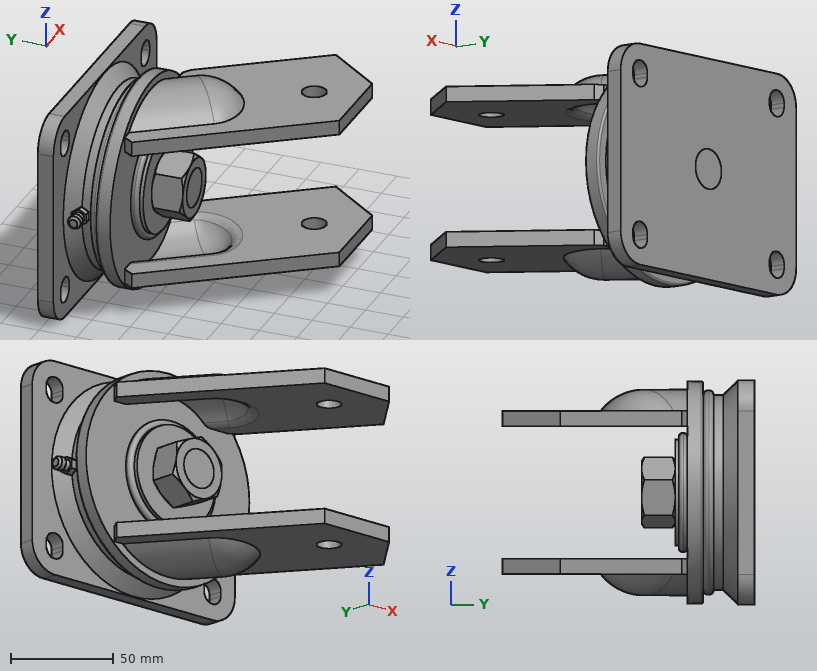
import cadquery as cq
import math


PLATE_WIDTH = 135.0
PLATE_HEIGHT = 110.0
PLATE_THICKNESS = 8.3
PLATE_CORNER_RADIUS = 14.9
SLOT_LENGTH = 13.2
SLOT_WIDTH = 11.0
SLOT_SPACING_X = 105.2
SLOT_SPACING_Z = 80.3
CONE_RADIUS = 54.6
HUB_RADIUS = 47.8
SPIGOT_RADIUS = 46.5
CONE_END_DEPTH = 15.4
HUB_END_DEPTH = 20

DISC_RADIUS = 54.5
DISC_BACK_DEPTH = 25.2
DISC_FRONT_DEPTH = 32.9
DISC_EDGE_FILLET = 1.0
HUB_RING_RADIUS = 50.1

WASHER_RADIUS = 26.0
WASHER_RING_RADIUS = 29.2
WASHER_RING_END_DEPTH = 37.2
WASHER_END_DEPTH = 38.9
NUT_END_DEPTH = 55.4
NUT_CIRCUMRADIUS = 17.5
NUT_TURN = 9.5
NUT_CHAMFER_ANGLE = 30
BOLT_RADIUS = 10.0

LEG_OUTER_Z = 40
LEG_THICKNESS = 7.7
LEG_INNER_Z = LEG_OUTER_Z - LEG_THICKNESS
LEG_LEAN = 35
LEG_HALF_WIDTH = 34.9
LEFT_SHOULDER_DEPTH = 38.1
LEFT_ROOT_X = -35.5
RIGHT_SHOULDER_DEPTH = 35.7
RIGHT_ROOT_X = 40.6
LEG_END_DEPTH = 123.5
LEG_TIP_DEPTH = 95.2
LEG_END_X = 63.8
PIVOT_X = 45.0
PIVOT_DEPTH = 100.5
PIVOT_DIAMETER = 12.3

BULGE_ARC_RADIUS = 34.0
BULGE_TOP_Z = 50.5
BULGE_LENGTH = 25.7
BULGE_CAP_AXIS_Z = 26.1
BULGE_RIM_FILLET = 6.2

NIPPLE_DEPTH = 15.0
NIPPLE_SEAT_X = -46.1
NIPPLE_HEX_END_X = -51.2
NIPPLE_NECK_END_X = -53.7
NIPPLE_TIP_X = -58.3
NIPPLE_HEX_CIRCUMRADIUS = 4.5
NIPPLE_NECK_BASE_RADIUS = 2.9
NIPPLE_NECK_RADIUS = 2.2
NIPPLE_HEAD_RADIUS = 3.4
NIPPLE_TIP_RADIUS = 2.2
NIPPLE_HEAD_BEVEL = 1.2


def cylinder(radius, start_depth, end_depth):
    """Solid cylinder on the swivel axis between two depths."""
    return cq.Workplane("XZ", origin=(0, -start_depth, 0)).circle(radius).extrude(end_depth - start_depth)


def sealing_ring(bore_radius, outer_radius, start_depth, end_depth):
    """Round-section ring around the swivel axis, bored flat on the inside."""
    section_radius = (end_depth - start_depth) / 2
    ring = (
        cq.Workplane("XY")
        .center(outer_radius - section_radius, -start_depth - section_radius)
        .circle(section_radius)
        .revolve(360, (section_radius - outer_radius, 0, 0), (section_radius - outer_radius, 1, 0))
    )
    return ring.cut(cylinder(bore_radius, start_depth, end_depth))


def hexagon_points(circumradius, turn):
    """Hexagon corners, the first one turned clockwise from straight up."""
    angles = [math.radians(90 - turn + 60 * i) for i in range(6)]
    return [(circumradius * math.cos(a), circumradius * math.sin(a)) for a in angles]


def make_nipple():
    base = (
        cq.Workplane("YZ", origin=(NIPPLE_HEX_END_X, -NIPPLE_DEPTH, 0))
        .polyline(hexagon_points(NIPPLE_HEX_CIRCUMRADIUS, 0))
        .close()
        .extrude(NIPPLE_SEAT_X - NIPPLE_HEX_END_X)
    )
    profile = [
        (NIPPLE_HEX_END_X, 0),
        (NIPPLE_HEX_END_X, NIPPLE_NECK_BASE_RADIUS),
        (NIPPLE_NECK_END_X, NIPPLE_NECK_RADIUS),
        (NIPPLE_NECK_END_X - NIPPLE_HEAD_BEVEL / 2, NIPPLE_HEAD_RADIUS),
        (NIPPLE_TIP_X + NIPPLE_HEAD_BEVEL, NIPPLE_HEAD_RADIUS),
        (NIPPLE_TIP_X, NIPPLE_TIP_RADIUS),
        (NIPPLE_TIP_X, 0),
    ]
    head = (
        cq.Workplane("XY", origin=(0, -NIPPLE_DEPTH, 0))
        .polyline(profile)
        .close()
        .revolve(360, (0, 0, 0), (1, 0, 0))
    )
    return base.union(head)


def make_mounting_plate(nipple):
    plate = (
        cq.Workplane("XZ")
        .rect(PLATE_WIDTH, PLATE_HEIGHT)
        .extrude(PLATE_THICKNESS)
        .edges("|Y")
        .fillet(PLATE_CORNER_RADIUS)
    )
    hub_profile = [
        (0, 0),
        (CONE_RADIUS, 0),
        (CONE_RADIUS, -PLATE_THICKNESS),
        (HUB_RADIUS, -CONE_END_DEPTH),
        (HUB_RADIUS, -HUB_END_DEPTH),
        (SPIGOT_RADIUS, -HUB_END_DEPTH),
        (SPIGOT_RADIUS, -DISC_BACK_DEPTH),
        (0, -DISC_BACK_DEPTH),
    ]
    hub = cq.Workplane("XY").polyline(hub_profile).close().revolve(360, (0, 0, 0), (0, 1, 0))
    slots = (
        cq.Workplane("XZ")
        .rarray(SLOT_SPACING_X, SLOT_SPACING_Z, 2, 2)
        .slot2D(SLOT_LENGTH, SLOT_WIDTH, 90)
        .extrude(PLATE_THICKNESS)
    )
    bolt_hole = cylinder(BOLT_RADIUS, 0, DISC_BACK_DEPTH)
    return plate.union(hub).cut(slots).cut(bolt_hole).cut(nipple)


def bulge_shape(arc_radius):
    """Leaning half round with a domed end, standing on the level of the dome's axis."""
    lean = math.radians(LEG_LEAN)
    arc_center_z = BULGE_TOP_Z - BULGE_ARC_RADIUS
    half_base = math.sqrt(arc_radius**2 - (BULGE_CAP_AXIS_Z - arc_center_z) ** 2)
    dome_plane = cq.Plane(
        origin=(
            BULGE_LENGTH * math.sin(lean),
            -DISC_FRONT_DEPTH - BULGE_LENGTH * math.cos(lean),
            BULGE_CAP_AXIS_Z,
        ),
        xDir=(math.cos(lean), math.sin(lean), 0),
        normal=(math.sin(lean), -math.cos(lean), 0),
    )
    section = (
        cq.Workplane(dome_plane)
        .moveTo(-half_base, 0)
        .threePointArc((0, arc_center_z + arc_radius - BULGE_CAP_AXIS_Z), (half_base, 0))
        .close()
    )
    dome = section.revolve(90, (0, 0, 0), (1, 0, 0))
    barrel = section.toPending().extrude(-2 * BULGE_LENGTH - half_base, combine=False)
    return barrel.union(dome)


def leg_side_x(side, depth):
    """X of the leaning left (-1) or right (+1) side of a leg at a depth."""
    lean = math.radians(LEG_LEAN)
    return (depth - DISC_FRONT_DEPTH) * math.tan(lean) + side * LEG_HALF_WIDTH / math.cos(lean)


def make_leg():
    """Leg on the +Z side, ending at the front face of the disc."""
    outline = [
        (LEFT_ROOT_X, -DISC_FRONT_DEPTH),
        (leg_side_x(-1, LEFT_SHOULDER_DEPTH), -LEFT_SHOULDER_DEPTH),
        (leg_side_x(-1, LEG_END_DEPTH), -LEG_END_DEPTH),
        (LEG_END_X, -LEG_END_DEPTH),
        (leg_side_x(1, LEG_TIP_DEPTH), -LEG_TIP_DEPTH),
        (leg_side_x(1, RIGHT_SHOULDER_DEPTH), -RIGHT_SHOULDER_DEPTH),
        (RIGHT_ROOT_X, -DISC_FRONT_DEPTH),
    ]
    flat = cq.Workplane("XY", origin=(0, 0, LEG_INNER_Z)).polyline(outline).close().extrude(LEG_THICKNESS)
    room = LEG_END_DEPTH
    above_leg = (
        cq.Workplane("XY", origin=(0, -DISC_FRONT_DEPTH - room / 2, LEG_OUTER_Z - LEG_THICKNESS / 2))
        .rect(2 * room, room)
        .extrude(room)
    )
    pivot_hole = (
        cq.Workplane("XY", origin=(PIVOT_X, -PIVOT_DEPTH, LEG_INNER_Z))
        .circle(PIVOT_DIAMETER / 2)
        .extrude(LEG_THICKNESS)
    )
    bulge = bulge_shape(BULGE_ARC_RADIUS).intersect(above_leg)
    pocket = bulge_shape(BULGE_ARC_RADIUS - LEG_THICKNESS)
    leg = flat.union(bulge).cut(pocket)
    rim_box = cq.selectors.BoxSelector(
        (-LEG_HALF_WIDTH, -DISC_FRONT_DEPTH - 0.2, 0),
        (LEG_HALF_WIDTH, -DISC_FRONT_DEPTH - 1.5 * BULGE_LENGTH, LEG_OUTER_Z),
    )
    rim = leg.faces("<Z").edges(rim_box)
    leg = rim.fillet(BULGE_RIM_FILLET)
    return leg.cut(pivot_hole)


def make_fork():
    disc = (
        cylinder(DISC_RADIUS, DISC_BACK_DEPTH, DISC_FRONT_DEPTH)
        .edges(">Y")
        .fillet(DISC_EDGE_FILLET)
        .cut(cylinder(BOLT_RADIUS, DISC_BACK_DEPTH, DISC_FRONT_DEPTH))
    )
    leg = make_leg()
    return disc.union(leg).union(leg.mirror("XY"))


def make_nut():
    """Hexagon nut with its corners bevelled at both ends."""
    inscribed = NUT_CIRCUMRADIUS * math.cos(math.radians(30))
    bevel_height = (NUT_CIRCUMRADIUS - inscribed) * math.tan(math.radians(NUT_CHAMFER_ANGLE))
    blank = (
        cq.Workplane("XZ", origin=(0, -WASHER_END_DEPTH, 0))
        .polyline(hexagon_points(NUT_CIRCUMRADIUS, NUT_TURN))
        .close()
        .extrude(NUT_END_DEPTH - WASHER_END_DEPTH)
    )
    envelope_profile = [
        (BOLT_RADIUS, -WASHER_END_DEPTH),
        (inscribed, -WASHER_END_DEPTH),
        (NUT_CIRCUMRADIUS, -WASHER_END_DEPTH - bevel_height),
        (NUT_CIRCUMRADIUS, -NUT_END_DEPTH + bevel_height),
        (inscribed, -NUT_END_DEPTH),
        (BOLT_RADIUS, -NUT_END_DEPTH),
    ]
    envelope = cq.Workplane("XY").polyline(envelope_profile).close().revolve(360, (0, 0, 0), (0, 1, 0))
    return blank.intersect(envelope)


def make_washer():
    return cylinder(WASHER_RADIUS, DISC_FRONT_DEPTH, WASHER_END_DEPTH).cut(
        cylinder(BOLT_RADIUS, DISC_FRONT_DEPTH, WASHER_END_DEPTH)
    )


nipple = make_nipple()
mounting_plate = make_mounting_plate(nipple)
hub_ring = sealing_ring(SPIGOT_RADIUS, HUB_RING_RADIUS, HUB_END_DEPTH, DISC_BACK_DEPTH)
fork = make_fork()
washer_ring = sealing_ring(WASHER_RADIUS, WASHER_RING_RADIUS, DISC_FRONT_DEPTH, WASHER_RING_END_DEPTH)
washer = make_washer()
nut = make_nut()
bolt = cylinder(BOLT_RADIUS, 0, NUT_END_DEPTH)

result = cq.Compound.makeCompound(
    [
        mounting_plate.val(),
        nipple.val(),
        hub_ring.val(),
        fork.val(),
        washer_ring.val(),
        washer.val(),
        nut.val(),
        bolt.val(),
    ]
)